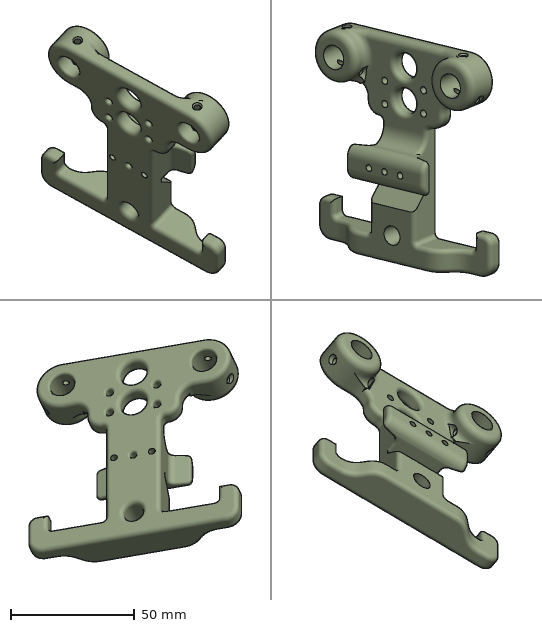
import cadquery as cq
import math

height = 93.2
bar_width = 89.0
bar_half_width = bar_width / 2
plate_thickness = 7.0
stem_depth = 15.0
edge_round = 2.0
small_round = 1.0
tolerance = 0.01
full_turn = 360
half_turn = full_turn / 2
diagonal = math.sqrt(0.5)

ear_x = 30.0
ear_radius = 11.0
ear_z = height - ear_radius
ear_bottom_z = ear_z - ear_radius
ear_depth = 15.0
ear_round = 3.0

shoulder_half_width = 19.5
shoulder_radius = 6.0
shoulder_flat = 1.0
shoulder_tip_z = ear_bottom_z - shoulder_radius - shoulder_flat
shoulder_bottom_z = shoulder_tip_z - shoulder_radius
stem_half_width = 11.6
inner_corner = shoulder_half_width - shoulder_radius - stem_half_width

bar_top_z = 10.0
hook_top_z = 18.0
hook_inner_x = 36.2
bar_bottom_radius = 6.0
hook_top_radius = 4.0
notch_z = 32.1
ramp_bottom_z = notch_z - (stem_depth - plate_thickness)
bar_curve_radius = 10.0
bar_curve_start_x = 17.7

clip_z = 40.6
clip_height = 15.0
clip_top_z = clip_z + clip_height / 2
clip_bottom_z = clip_z - clip_height / 2
clip_half_width = 20.0
clip_back_y = 20.0
clip_back_round = 5.0
wing_slope = math.radians(12)
wing_root_radius = 3.0
wing_root_y = 11.65

center_bore_diameter = 11.0
upper_bore_spacing = 15.0
ear_bore_diameter = 10.3
lower_bore_diameter = 8.2
lower_bore_z = 12.0
small_diameter = 3.0
small_x = 10.0
small_z = (64.2, 74.2)
clip_screw_diameter = 2.7
pin_diameter = 2.8
pin_x = 8.0
screw_diameter = 2.7
screw_length = 7.9
screw_lead = 1.9
screw_rim = 0.65
top_screw_y = 6.2
side_screw_y = 7.55
side_screw_drop = 6.6
side_screw_tilt = 15.0


def half_outline():
    """Right half of the front outline, closed along the centre line and cut flat at the ear axis."""
    k = diagonal
    r = shoulder_radius
    ear_flat_x = shoulder_half_width + r
    path = cq.Workplane("XZ").moveTo(0, height).lineTo(ear_x, height)
    path = path.lineTo(ear_x, ear_bottom_z)
    path = path.lineTo(ear_flat_x, ear_bottom_z)
    path = path.threePointArc(
        (ear_flat_x - r * k, ear_bottom_z - r + r * k),
        (shoulder_half_width, ear_bottom_z - r),
    )
    path = path.lineTo(shoulder_half_width, shoulder_tip_z)
    path = path.threePointArc(
        (shoulder_half_width - r + r * k, shoulder_tip_z - r * k),
        (shoulder_half_width - r, shoulder_bottom_z),
    )
    c = inner_corner
    path = path.threePointArc(
        (stem_half_width + c - c * k, shoulder_bottom_z - c + c * k),
        (stem_half_width, shoulder_bottom_z - c),
    )
    path = path.lineTo(stem_half_width, bar_top_z + c)
    path = path.threePointArc(
        (stem_half_width + c - c * k, bar_top_z + c - c * k),
        (stem_half_width + c, bar_top_z),
    )
    path = path.lineTo(hook_inner_x - c, bar_top_z)
    path = path.threePointArc(
        (hook_inner_x - c + c * k, bar_top_z + c - c * k),
        (hook_inner_x, bar_top_z + c),
    )
    path = path.lineTo(hook_inner_x, hook_top_z)
    h = hook_top_radius
    path = path.lineTo(bar_half_width - h, hook_top_z)
    path = path.threePointArc(
        (bar_half_width - h + h * k, hook_top_z - h + h * k),
        (bar_half_width, hook_top_z - h),
    )
    b = bar_bottom_radius
    path = path.lineTo(bar_half_width, b)
    path = path.threePointArc((bar_half_width - b + b * k, b - b * k), (bar_half_width - b, 0))
    return path.lineTo(0, 0).close()


def outline_solid(depth):
    """Both halves of the outline as one plate of the given depth."""
    half = half_outline().extrude(-depth)
    return half.union(half.mirror("YZ")).clean()


def bar_envelope():
    """Depth limit of the bar: deep at the stem, S-curving down to the plate at the hooks."""
    r = bar_curve_radius
    drop = stem_depth - plate_thickness
    side = r * diagonal
    rise = r - side
    slant = drop - 2 * rise
    half_sweep = math.pi / 8
    x0 = bar_curve_start_x
    x1 = x0 + side
    x2 = x1 + slant
    x3 = x2 + side
    bend = (r * math.sin(half_sweep), r * (1 - math.cos(half_sweep)))
    half = (
        cq.Workplane("XY")
        .moveTo(0, stem_depth)
        .lineTo(x0, stem_depth)
        .threePointArc((x0 + bend[0], stem_depth - bend[1]), (x1, stem_depth - rise))
        .lineTo(x2, plate_thickness + rise)
        .threePointArc((x3 - bend[0], plate_thickness + bend[1]), (x3, plate_thickness))
        .lineTo(bar_half_width, plate_thickness)
        .lineTo(bar_half_width, 0)
        .lineTo(0, 0)
        .close()
        .extrude(clip_bottom_z)
    )
    return half.union(half.mirror("YZ"))


def stem_envelope():
    """Side profile of the stem: plate, swept rise to the clip, notch, 45 degree ramp, deep foot."""
    r = plate_thickness
    profile = (
        cq.Workplane("YZ")
        .moveTo(0, 0)
        .lineTo(stem_depth, 0)
        .lineTo(stem_depth, ramp_bottom_z)
        .lineTo(plate_thickness, notch_z)
        .lineTo(plate_thickness, clip_z)
        .lineTo(plate_thickness + r, clip_z)
        .lineTo(plate_thickness + r, clip_top_z)
        .threePointArc(
            (plate_thickness + r - r * diagonal, clip_top_z + r - r * diagonal),
            (plate_thickness, clip_top_z + r),
        )
        .lineTo(plate_thickness, height)
        .lineTo(0, height)
        .close()
    )
    return profile.extrude(bar_half_width, both=True)


def is_front_edge(box):
    """Edge of the front face, leaving out the flat cuts at the ear centres."""
    on_front = box.ymax < tolerance
    at_ear_cut = box.xmin > ear_x - tolerance or box.xmax < tolerance - ear_x
    return on_front and not at_ear_cut


def is_back_edge(box):
    """Rounded back edge: shoulders, swept rise, foot of the stem, bar and hooks."""
    if box.ymin < plate_thickness - tolerance:
        return False
    if box.zmax < tolerance:
        return True
    beside_stem = box.xmin > stem_half_width - tolerance or box.xmax < tolerance - stem_half_width
    on_shoulder = box.zmin > clip_top_z - tolerance and box.zmax < ear_bottom_z + tolerance
    along_ramp = box.zmax > ramp_bottom_z + tolerance
    across_bar = box.zmin < tolerance and box.zmax > bar_top_z - tolerance
    on_bar = not along_ramp and not across_bar
    return beside_stem and (on_shoulder or on_bar)


def is_top_back_edge(box):
    """Edge along the top, from the foot of one ear to the foot of the other."""
    on_top = box.zmin > height - tolerance
    in_depth = plate_thickness - tolerance < box.ymin and box.ymax < plate_thickness + ear_round + tolerance
    return on_top and in_depth and box.xmax - box.xmin > ear_round


def round_edges(body, test, radius):
    """Round every edge whose bounding box passes the test."""
    edges = [edge for edge in body.edges().vals() if test(edge.BoundingBox())]
    return body.newObject(edges).fillet(radius)


def frame():
    """Plate, stem, bar and hooks, up to the ear centres, with front and back edges rounded."""
    above_ramp = cq.Workplane("XY", origin=(0, 0, clip_bottom_z)).box(
        2 * bar_half_width, stem_depth, height, centered=(True, False, False)
    )
    body = outline_solid(stem_depth).intersect(stem_envelope())
    body = body.intersect(bar_envelope().union(above_ramp))
    body = round_edges(body, is_front_edge, edge_round)
    return round_edges(body, is_back_edge, edge_round)


def ear_start():
    """Start of a half ear section: from the axis along the back and around its rounded rim."""
    rim_x = ear_radius - ear_round * (1 - diagonal)
    rim_y = ear_depth - ear_round * (1 - diagonal)
    return (
        cq.Workplane("XY")
        .moveTo(0, ear_depth)
        .lineTo(ear_radius - ear_round, ear_depth)
        .threePointArc((rim_x, rim_y), (ear_radius, ear_depth - ear_round))
    )


def outer_ear():
    """Half of the right ear beyond its axis, full depth with a rounded front rim."""
    inset = edge_round * (1 - diagonal)
    section = (
        ear_start()
        .lineTo(ear_radius, edge_round)
        .threePointArc((ear_radius - inset, inset), (ear_radius - edge_round, 0))
        .lineTo(0, 0)
        .close()
    )
    half = section.revolve(half_turn, (0, 0, 0), (0, 1, 0))
    return half.rotate((0, 0, 0), (0, 1, 0), -half_turn / 2).translate((ear_x, 0, ear_z))


def inner_ear():
    """Half of the right ear toward the centre, flaring onto the plate with a concave foot."""
    foot_x = ear_radius + ear_round
    curve = ear_round * diagonal
    embed_y = plate_thickness / 2
    section = (
        ear_start()
        .lineTo(ear_radius, plate_thickness + ear_round)
        .threePointArc((foot_x - curve, plate_thickness + ear_round - curve), (foot_x, plate_thickness))
        .lineTo(foot_x, embed_y)
        .lineTo(0, embed_y)
        .close()
    )
    half = section.revolve(half_turn, (0, 0, 0), (0, 1, 0))
    half = half.rotate((0, 0, 0), (0, 1, 0), half_turn / 2).translate((ear_x, 0, ear_z))
    return half.intersect(outline_solid(ear_depth))


def add_ears(body):
    """Both ears, with the top back edge rounded between them."""
    for half in (inner_ear(), outer_ear()):
        body = body.union(half).union(half.mirror("YZ"))
    return round_edges(body, is_top_back_edge, ear_round)


def is_wing_tip_edge(box):
    """Edge of a flat wing end, leaving out its straight front edge."""
    at_tip = max(abs(box.xmin), abs(box.xmax)) > clip_half_width - tolerance
    in_end_face = box.xmax - box.xmin < tolerance
    return at_tip and in_end_face and box.ymax > clip_back_y - tolerance


def is_wing_underside_edge(box):
    """Edge around the underside of a wing, from the stem out to the wing end and back."""
    beside_stem = box.xmin > stem_half_width - tolerance or box.xmax < tolerance - stem_half_width
    at_tip = max(abs(box.xmin), abs(box.xmax)) > clip_half_width - tolerance
    front_of_back = box.ymax < clip_back_y - edge_round - tolerance
    across_height = box.zmin < clip_z < box.zmax
    return beside_stem and front_of_back and (at_tip or not across_height)


def clip():
    """Block behind the stem with two wings that overhang its sides."""
    root_x = stem_half_width + wing_root_radius
    slope_x = root_x - wing_root_radius * math.sin(wing_slope)
    slope_y = wing_root_y + wing_root_radius * math.cos(wing_slope)
    bisector = (math.pi + math.pi / 2 + wing_slope) / 2
    root_mid = (
        root_x + wing_root_radius * math.cos(bisector),
        wing_root_y + wing_root_radius * math.sin(bisector),
    )
    tip_y = slope_y + (clip_half_width - slope_x) * math.tan(wing_slope)
    half = (
        cq.Workplane("XY", origin=(0, 0, clip_bottom_z))
        .moveTo(0, edge_round)
        .lineTo(stem_half_width, edge_round)
        .lineTo(stem_half_width, wing_root_y)
        .threePointArc(root_mid, (slope_x, slope_y))
        .lineTo(clip_half_width, tip_y)
        .lineTo(clip_half_width, clip_back_y)
        .lineTo(0, clip_back_y)
        .close()
        .extrude(clip_height)
    )
    block = half.union(half.mirror("YZ")).clean()
    block = block.faces(">Y").edges("|X").fillet(clip_back_round)
    block = round_edges(block, is_wing_tip_edge, edge_round)
    return round_edges(block, is_wing_underside_edge, small_round)


def bore_cutter(diameter, rim_round, length):
    """Bore along +Y whose front rim is flared by a quarter round."""
    radius = diameter / 2
    flare = radius + rim_round
    curve = rim_round * diagonal
    return (
        cq.Workplane("XY")
        .moveTo(0, 0)
        .lineTo(flare, 0)
        .threePointArc((flare - curve, rim_round - curve), (radius, rim_round))
        .lineTo(radius, length)
        .lineTo(0, length)
        .close()
        .revolve(full_turn, (0, 0, 0), (0, 1, 0))
    )


def cut_bores(body):
    """Front bores; the two upper centre bores are flared at the back as well."""
    large = [
        (0, ear_z, center_bore_diameter, edge_round),
        (0, ear_z - upper_bore_spacing, center_bore_diameter, edge_round),
        (0, lower_bore_z, lower_bore_diameter, edge_round),
        (-ear_x, ear_z, ear_bore_diameter, small_round),
        (ear_x, ear_z, ear_bore_diameter, small_round),
    ]
    small = [(side * small_x, z, small_diameter, small_round) for side in (-1, 1) for z in small_z]
    clip_screw = [(0, clip_z, clip_screw_diameter, small_round)]
    for x, z, diameter, rim_round in large + small + clip_screw:
        cutter = bore_cutter(diameter, rim_round, clip_back_y)
        body = body.cut(cutter.translate((x, 0, z)))
    flare = bore_cutter(center_bore_diameter, edge_round, plate_thickness)
    flare = flare.mirror("XZ").translate((0, plate_thickness, 0))
    for z in (ear_z, ear_z - upper_bore_spacing):
        body = body.cut(flare.translate((0, 0, z)))
    pins = cq.Workplane("XZ").pushPoints([(-pin_x, clip_z), (pin_x, clip_z)])
    return body.cut(pins.circle(pin_diameter / 2).extrude(-clip_back_y))


def screw_cutters():
    """Screw hole along -Z from the origin, and the cone that countersinks its mouth."""
    radius = screw_diameter / 2
    hole = cq.Workplane("XY", origin=(0, 0, screw_lead)).circle(radius).extrude(-screw_lead - screw_length)
    run = screw_rim + screw_lead
    cone = cq.Solid.makeCone(radius, radius + run, run, pnt=cq.Vector(0, 0, -screw_rim))
    return [hole, cq.Workplane("XY").add(cone)]


def cut_ear_screws(body):
    """Each ear takes one screw from the top and a low, tilted one from either side."""
    mouth_x = math.sqrt(ear_radius**2 - side_screw_drop**2)
    for tool in screw_cutters():
        top = tool.translate((0, top_screw_y, ear_z + ear_radius))
        right = tool.rotate((0, 0, 0), (0, 1, 0), full_turn / 4 + side_screw_tilt)
        right = right.translate((mouth_x, side_screw_y, ear_z - side_screw_drop))
        for cutter in (top, right, right.mirror("YZ")):
            for ear in (-ear_x, ear_x):
                body = body.cut(cutter.translate((ear, 0, 0)))
    return body


result = cut_ear_screws(cut_bores(add_ears(frame()).union(clip())))